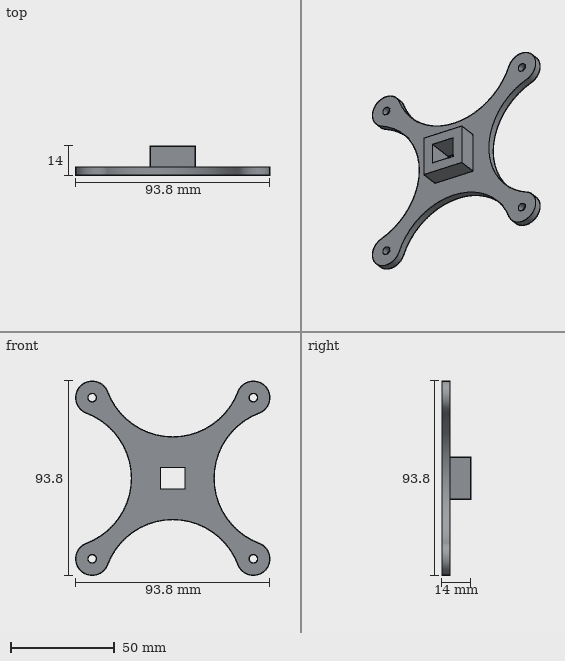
import cadquery as cq
import math

hole_circle_radius = 55.0
lobe_radius = 8.0
hole_diameter = 4.0
waist = 20.0
plate_thickness = 4.0
boss_height = 10.0
socket_width = 11.8
socket_height = 10.3
boss_wall = 5.0

arm_count = 4
hole_offset = hole_circle_radius * math.sin(math.pi / arm_count)
total_depth = plate_thickness + boss_height

tangent_gap = waist - lobe_radius
side_center = (2 * hole_offset**2 - tangent_gap**2) / (2 * (hole_offset - tangent_gap))
side_radius = side_center - waist
tangent_ratio = lobe_radius / (lobe_radius + side_radius)
tangent_near = hole_offset * (1 - tangent_ratio)
tangent_far = hole_offset + (side_center - hole_offset) * tangent_ratio
lobe_tip = (hole_circle_radius + lobe_radius) * math.sin(math.pi / arm_count)


def turned(point, quarter_turns):
    """Rotate a point about the part centre by whole quarter turns."""
    x, z = point
    for _ in range(quarter_turns):
        x, z = -z, x
    return x, z


def extrude_back(sketch, depth):
    """Extrude an XZ sketch toward +Y, from the front face at Y = 0."""
    return sketch.extrude(-depth)


def make_plate():
    """Four-armed plate bounded by alternating lobe and concave arcs."""
    outline = cq.Workplane("XZ").moveTo(tangent_far, tangent_near)
    for arm in range(arm_count):
        outline = outline.threePointArc(
            turned((lobe_tip, lobe_tip), arm),
            turned((tangent_near, tangent_far), arm),
        )
        outline = outline.threePointArc(
            turned((0, waist), arm),
            turned((-tangent_near, tangent_far), arm),
        )
    return extrude_back(outline.close(), plate_thickness)


def make_boss():
    """Rectangular block around the socket; it runs through the plate."""
    sketch = cq.Workplane("XZ").rect(socket_width + 2 * boss_wall, socket_height + 2 * boss_wall)
    return extrude_back(sketch, total_depth)


def make_socket():
    """Rectangular opening through the plate and boss."""
    return extrude_back(cq.Workplane("XZ").rect(socket_width, socket_height), total_depth)


def make_mounting_holes():
    """One hole through the plate at the centre of each lobe."""
    spacing = 2 * hole_offset
    sketch = cq.Workplane("XZ").rect(spacing, spacing, forConstruction=True).vertices()
    return extrude_back(sketch.circle(hole_diameter / 2), plate_thickness)


result = make_plate().union(make_boss()).cut(make_socket()).cut(make_mounting_holes())